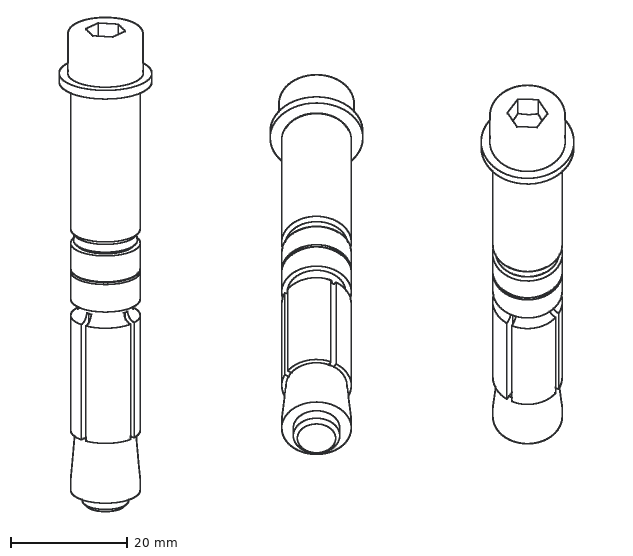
import cadquery as cq
import math

total_length = 88.0

bolt_radius = 4.0
bolt_tip_radius = 3.3
bolt_tip_chamfer_height = 0.7
head_radius = 6.5
head_height = 8.0
head_edge_fillet = 0.8
socket_across_flats = 6.0
socket_sides = 6
socket_depth = 4.0
socket_point_angle = 120.0
socket_rotation = -15.0

washer_radius = 8.0
washer_thickness = 1.6

body_radius = 6.0
sleeve_top_chamfer_radial = 0.3
sleeve_top_chamfer_height = 0.5
sleeve_bottom_z = 51.1
sleeve_neck_top_radius = 5.4
sleeve_neck_top_z = 50.4
sleeve_neck_bottom_radius = 5.5
sleeve_neck_bottom_z = 49.0
sleeve_neck_foot_radius = 5.0

rings_top_z = 48.5
rings_bottom_z = 38.1
ring_groove_z = 43.45
ring_groove_width = 0.5
ring_groove_depth = 0.3

waist_radius = 4.55
waist_top_radius = 5.05
waist_arc_sagitta = 0.15
shell_flare_sagitta = 0.4
waist_z = 36.8
shell_top_z = 35.1
shell_bottom_z = 13.75

cone_bottom_z = 2.65
cone_rim_top_z = 4.75
cone_shell_radius = 5.25

slot_count = 4
slot_width = 1.0
slot_rotation = 15.0

head_bottom_z = total_length - head_height
washer_bottom_z = head_bottom_z - washer_thickness


def revolve_profile(profile):
    """Turn a closed half-section, given as (radius, z), around the Z axis."""
    return profile.close().revolve(360, (0, 0, 0), (0, 1, 0))


def make_turned_body():
    fillet_start_z = total_length - head_edge_fillet
    fillet_end_radius = head_radius - head_edge_fillet
    fillet_mid_offset = head_edge_fillet * math.sin(math.radians(45))
    fillet_mid = (fillet_end_radius + fillet_mid_offset, fillet_start_z + fillet_mid_offset)
    half_groove = ring_groove_width / 2
    profile = (
        cq.Workplane("YZ")
        .moveTo(0, 0)
        .lineTo(bolt_tip_radius, 0)
        .lineTo(bolt_radius, bolt_tip_chamfer_height)
        .lineTo(bolt_radius, cone_bottom_z)
        .lineTo(body_radius, cone_bottom_z)
        .lineTo(body_radius, cone_rim_top_z)
        .lineTo(cone_shell_radius, shell_bottom_z)
        .lineTo(body_radius, shell_bottom_z)
        .lineTo(body_radius, shell_top_z)
        .sagittaArc((waist_radius, waist_z), shell_flare_sagitta)
        .sagittaArc((waist_top_radius, rings_bottom_z), waist_arc_sagitta)
        .lineTo(body_radius, rings_bottom_z)
        .lineTo(body_radius, ring_groove_z - half_groove)
        .lineTo(body_radius - ring_groove_depth, ring_groove_z)
        .lineTo(body_radius, ring_groove_z + half_groove)
        .lineTo(body_radius, rings_top_z)
        .lineTo(sleeve_neck_foot_radius, rings_top_z)
        .lineTo(sleeve_neck_bottom_radius, sleeve_neck_bottom_z)
        .lineTo(sleeve_neck_top_radius, sleeve_neck_top_z)
        .lineTo(body_radius, sleeve_bottom_z)
        .lineTo(body_radius, washer_bottom_z - sleeve_top_chamfer_height)
        .lineTo(body_radius - sleeve_top_chamfer_radial, washer_bottom_z)
        .lineTo(washer_radius, washer_bottom_z)
        .lineTo(washer_radius, head_bottom_z)
        .lineTo(head_radius, head_bottom_z)
        .lineTo(head_radius, fillet_start_z)
        .threePointArc(fillet_mid, (fillet_end_radius, total_length))
        .lineTo(0, total_length)
    )
    return revolve_profile(profile)


def make_slots():
    """Radial slots through the shell wall, reaching in as far as the bolt shank.

    Each blade spans the whole diameter, so it cuts two opposite slots.
    """
    slot_height = waist_z - shell_bottom_z
    blade_length = 2 * washer_radius
    base = cq.Workplane("XY", origin=(0, 0, shell_bottom_z))
    shank = base.circle(bolt_radius).extrude(slot_height)
    blade = base.rect(blade_length, slot_width).extrude(slot_height).cut(shank)
    slots = cq.Workplane("XY")
    for index in range(slot_count // 2):
        angle = slot_rotation + index * 360 / slot_count
        slots = slots.add(blade.rotate((0, 0, 0), (0, 0, 1), angle))
    return slots.combine()


def make_socket():
    """Hexagonal key socket that ends in a drill-point cone."""
    corner_radius = socket_across_flats / 2 / math.cos(math.pi / socket_sides)
    cone_depth = corner_radius / math.tan(math.radians(socket_point_angle / 2))
    cone_base_z = total_length - socket_depth
    cone_tip_z = cone_base_z - cone_depth
    hexagon = (
        cq.Workplane("XY")
        .workplane(offset=cone_tip_z)
        .polygon(socket_sides, 2 * corner_radius)
        .extrude(total_length - cone_tip_z)
        .rotate((0, 0, 0), (0, 0, 1), socket_rotation)
    )
    drill = revolve_profile(
        cq.Workplane("YZ")
        .moveTo(0, cone_tip_z)
        .lineTo(corner_radius, cone_base_z)
        .lineTo(corner_radius, total_length)
        .lineTo(0, total_length)
    )
    return hexagon.intersect(drill)


result = make_turned_body().cut(make_slots()).cut(make_socket())